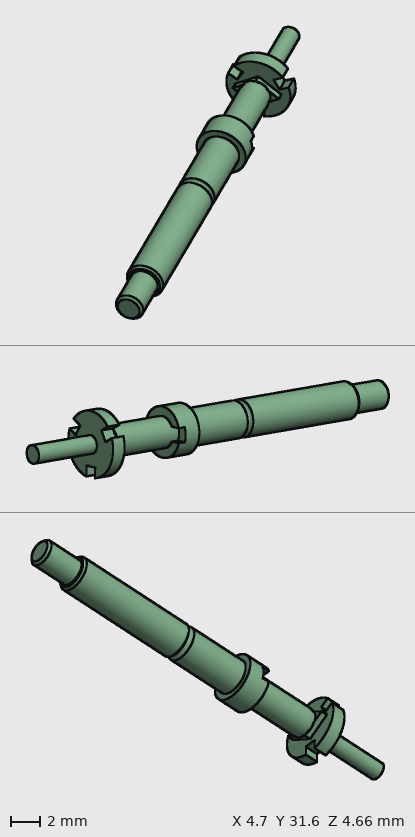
import cadquery as cq


collar_radius = 1.8
collar_length = 1.8
notch_width = 1.05
notch_depth = 0.55

body_radius = 1.325
body_length = 15.05
body_chamfer_length = 0.2
body_chamfer_height = 0.15
groove_radius = 0.25
groove_center_from_collar = 5.05
tip_radius = 1.0
tip_length = 3.0
tip_chamfer = 0.2

shaft_radius = 1.125
shaft_length = 4.55
neck_length = 0.4
neck_end_radius = 1.07

seat_half_width = 1.69
seat_half_height = 1.12
seat_thickness = 0.5

flange_radius = 2.35
flange_thickness = 1.05
slot_count = 3
first_slot_angle = 30
slot_width = 0.86
slot_floor_radius = 1.55

tail_radius = 0.65
tail_length = 5.25

neck_end_y = shaft_length + neck_length
flange_y = neck_end_y + seat_thickness
tail_y = flange_y + flange_thickness
body_start_y = -collar_length
body_end_y = body_start_y - body_length
tip_end_y = body_end_y - tip_length
groove_y = body_start_y - groove_center_from_collar


def extrude_along_y(sketch_points, start_y, length):
    """Prism with its section given as (x, z) points, running toward +Y."""
    plane = cq.Workplane("XZ", origin=(0, start_y, 0))
    return plane.polyline(sketch_points).close().extrude(-length)


def disc(radius, start_y, length):
    """Cylinder about the Y axis, running toward +Y."""
    return cq.Workplane("XZ", origin=(0, start_y, 0)).circle(radius).extrude(-length)


def make_front_section():
    """Tip and grooved body turned in one piece up to the collar."""
    profile = (
        cq.Workplane("XY")
        .moveTo(0, tip_end_y)
        .lineTo(tip_radius - tip_chamfer, tip_end_y)
        .lineTo(tip_radius, tip_end_y + tip_chamfer)
        .lineTo(tip_radius, body_end_y)
        .lineTo(body_radius - body_chamfer_height, body_end_y)
        .lineTo(body_radius, body_end_y + body_chamfer_length)
        .lineTo(body_radius, groove_y - groove_radius)
        .threePointArc((body_radius - groove_radius, groove_y), (body_radius, groove_y + groove_radius))
        .lineTo(body_radius, body_start_y)
        .lineTo(0, body_start_y)
        .close()
    )
    return profile.revolve(360, (0, 0, 0), (0, 1, 0))


def make_collar():
    """Collar with a notch in its +Y edge on the -X and +X sides."""
    collar = disc(collar_radius, -collar_length, collar_length)
    notch = cq.Workplane("XY").box(2 * collar_radius, 2 * notch_depth, notch_width)
    return collar.cut(notch)


def make_shaft():
    """Shaft and neck, reaching down to the floor of the collar notches."""
    profile = (
        cq.Workplane("XY")
        .moveTo(0, -notch_depth)
        .lineTo(shaft_radius, -notch_depth)
        .lineTo(shaft_radius, shaft_length)
        .lineTo(neck_end_radius, neck_end_y)
        .lineTo(0, neck_end_y)
        .close()
    )
    return profile.revolve(360, (0, 0, 0), (0, 1, 0))


def make_seat():
    """Rhombic plate between the neck and the flange."""
    corners = [
        (seat_half_width, 0),
        (0, seat_half_height),
        (-seat_half_width, 0),
        (0, -seat_half_height),
    ]
    return extrude_along_y(corners, neck_end_y, seat_thickness)


def make_flange():
    """Disc with evenly spaced radial slots, one of them at the bottom."""
    flange = disc(flange_radius, flange_y, flange_thickness)
    slot_corners = [
        (slot_floor_radius, -slot_width / 2),
        (flange_radius, -slot_width / 2),
        (flange_radius, slot_width / 2),
        (slot_floor_radius, slot_width / 2),
    ]
    slot = extrude_along_y(slot_corners, flange_y, flange_thickness)
    for index in range(slot_count):
        angle = first_slot_angle + index * 360 / slot_count
        flange = flange.cut(slot.rotate((0, 0, 0), (0, 1, 0), -angle))
    return flange


def make_tail():
    """Plain thin tail beyond the flange."""
    return disc(tail_radius, tail_y, tail_length)


result = (
    make_front_section()
    .union(make_collar())
    .union(make_shaft())
    .union(make_seat())
    .union(make_flange())
    .union(make_tail())
)